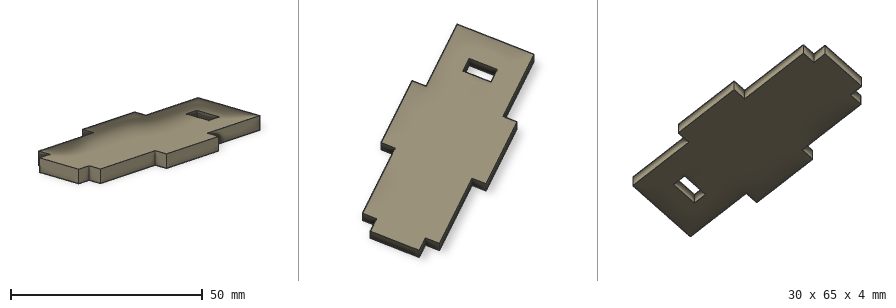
import cadquery as cq

thickness = 4.0

tab_length = thickness
front_length = 21.0
wing_length = 20.0
rear_length = 20.0
total_length = tab_length + front_length + wing_length + rear_length

wing_width = 30.0
body_width = wing_width - 2 * thickness
tab_width = body_width - 2 * thickness

slot_width = 8.0
slot_length = thickness
slot_rear_margin = 8.0


def centred_block(width, length, front_y):
    """Block of plate thickness, centred on X, starting at front_y and running toward +Y."""
    return cq.Workplane("XY").box(width, length, thickness, centered=(True, False, False)).translate(
        (0, front_y, 0)
    )


body_front = tab_length
wing_front = body_front + front_length
slot_front = total_length - slot_rear_margin - slot_length

tab = centred_block(tab_width, tab_length, 0)
body = centred_block(body_width, total_length - tab_length, body_front)
wings = centred_block(wing_width, wing_length, wing_front)
slot = centred_block(slot_width, slot_length, slot_front)

result = body.union(wings).union(tab).cut(slot)